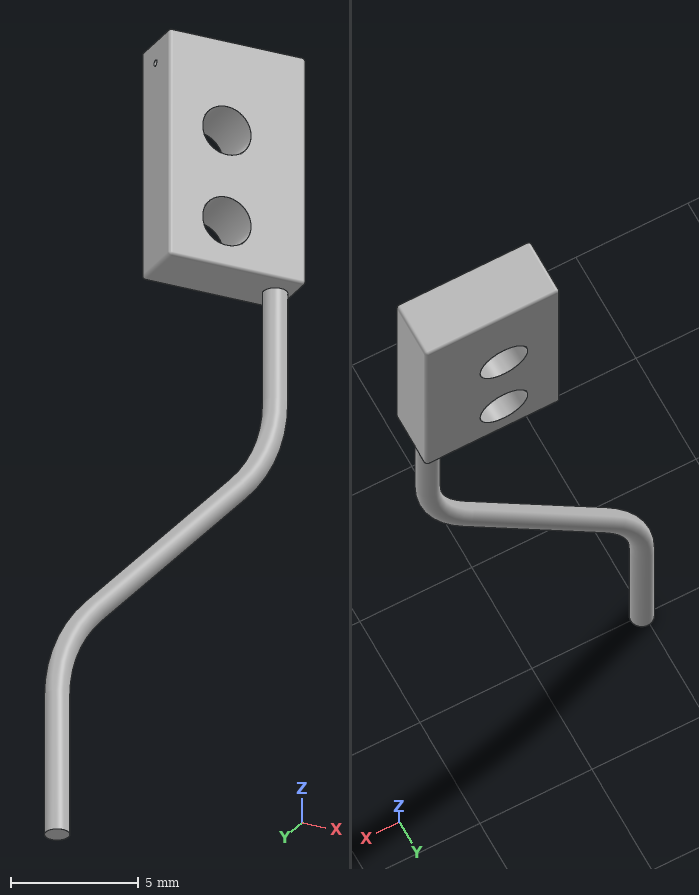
import cadquery as cq
import math

block_width = 6.0
block_depth = 2.5
block_height = 10.0
edge_round = 0.15

hole_diameter = 2.12
hole_pitch = 4.0
hole_from_left = 2.5

dimple_diameter = 0.25
dimple_depth = 0.15
dimple_below_top = 1.0

total_width = 10.8
total_height = 35.92
cable_diameter = 1.0
cable_from_right = 0.75
upper_straight = 4.85
bend_radius = 6.0
bend_angle = math.radians(43)

cable_top_x = block_width - cable_from_right
cable_end_x = block_width - total_width + cable_diameter / 2
bend_shift = bend_radius * (1 - math.cos(bend_angle))
bend_drop = bend_radius * math.sin(bend_angle)
slant_shift = cable_top_x - cable_end_x - 2 * bend_shift
slant_drop = slant_shift / math.tan(bend_angle)


def make_block():
    block = cq.Workplane("XY").box(block_width, block_depth, block_height)
    block = block.edges().fillet(edge_round)
    return block.translate((block_width / 2, 0, -block_height / 2))


def make_mounting_holes():
    centers = [(hole_from_left, -hole_pitch * row) for row in (1, 2)]
    return (
        cq.Workplane("XZ")
        .pushPoints(centers)
        .circle(hole_diameter / 2)
        .extrude(block_depth, both=True)
    )


def make_dimple():
    return (
        cq.Workplane("YZ")
        .center(0, -dimple_below_top)
        .circle(dimple_diameter / 2)
        .extrude(dimple_depth)
    )


def make_cable():
    upper_bend_z = -block_height - upper_straight
    slant_top = (cable_top_x - bend_shift, upper_bend_z - bend_drop)
    slant_bottom = (slant_top[0] - slant_shift, slant_top[1] - slant_drop)
    lower_bend_z = slant_bottom[1] - bend_drop

    half_shift = bend_radius * (1 - math.cos(bend_angle / 2))
    half_drop = bend_radius * math.sin(bend_angle / 2)
    upper_middle = (cable_top_x - half_shift, upper_bend_z - half_drop)
    lower_middle = (cable_end_x + half_shift, lower_bend_z + half_drop)

    path = (
        cq.Workplane("XZ")
        .moveTo(cable_top_x, -block_height)
        .lineTo(cable_top_x, upper_bend_z)
        .threePointArc(upper_middle, slant_top)
        .lineTo(*slant_bottom)
        .threePointArc(lower_middle, (cable_end_x, lower_bend_z))
        .lineTo(cable_end_x, -total_height)
    )
    return (
        cq.Workplane("XY", origin=(cable_top_x, 0, -block_height))
        .circle(cable_diameter / 2)
        .sweep(path)
    )


result = make_block().cut(make_mounting_holes()).cut(make_dimple()).union(make_cable())